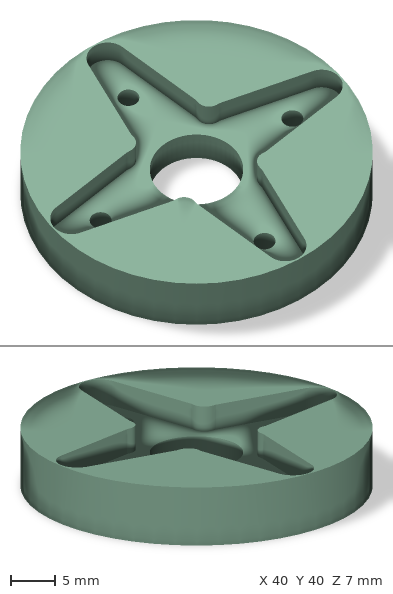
import cadquery as cq
import math

disc_diameter = 40.0
disc_height = 7.0
bore_diameter = 10.6

arm_count = 4
screw_hole_diameter = 2.5
screw_circle_diameter = 26.7

pocket_depth = 3.0
hub_width = 9.0
hub_half_width = hub_width / 2
root_distance = 6.5
tip_radius = 2.4
rim_wall = 0.2
inner_corner_radius = 1.5


def arm_outline():
    """One arm along +X: straight root, tapered sides and a tangent round tip."""
    tip_end = disc_diameter / 2 - rim_wall
    tip_center = tip_end - tip_radius

    root_reach = math.hypot(tip_center - root_distance, hub_half_width)
    root_angle = math.atan2(hub_half_width, root_distance - tip_center)
    tangent_angle = root_angle - math.acos(tip_radius / root_reach)
    tangent_x = tip_center + tip_radius * math.cos(tangent_angle)
    tangent_y = tip_radius * math.sin(tangent_angle)

    return (
        cq.Workplane("XY", origin=(0, 0, disc_height - pocket_depth))
        .moveTo(0, -hub_half_width)
        .lineTo(root_distance, -hub_half_width)
        .lineTo(tangent_x, -tangent_y)
        .threePointArc((tip_end, 0), (tangent_x, tangent_y))
        .lineTo(root_distance, hub_half_width)
        .lineTo(0, hub_half_width)
        .close()
    )


def cross_pocket():
    """Arms joined around the axis, with the inner corners between them rounded."""
    arm = arm_outline().extrude(pocket_depth)
    cross = arm
    for index in range(1, arm_count):
        cross = cross.union(arm.rotate((0, 0, 0), (0, 0, 1), index * 360 / arm_count))
    cross = cross.clean()

    selection_half_width = (hub_half_width + root_distance) / 2
    hub_corners = cq.selectors.BoxSelector(
        (-selection_half_width, -selection_half_width, 0),
        (selection_half_width, selection_half_width, disc_height),
    )
    return cross.edges("|Z").edges(hub_corners).fillet(inner_corner_radius)


disc = cq.Workplane("XY").circle(disc_diameter / 2).extrude(disc_height)
bore = cq.Workplane("XY").circle(bore_diameter / 2).extrude(disc_height)
screw_holes = (
    cq.Workplane("XY")
    .polarArray(screw_circle_diameter / 2, 0, 360, arm_count)
    .circle(screw_hole_diameter / 2)
    .extrude(disc_height)
)

result = disc.cut(cross_pocket()).cut(bore).cut(screw_holes)